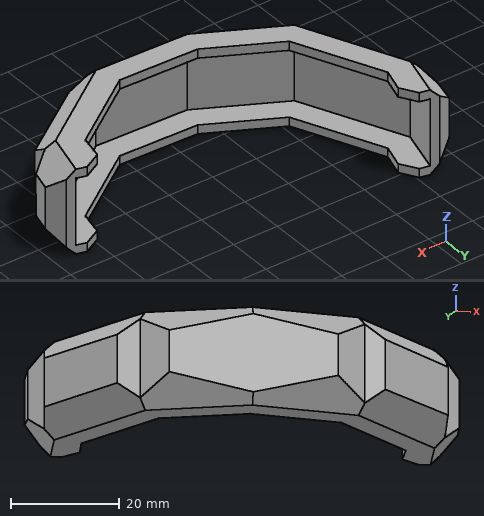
import cadquery as cq
import math

HEIGHT = 19.0
BAND_WIDTH = 5.2
VALLEY_DEPTH = 1.9
LIP_HEIGHT = 2.0
GROOVE_REACH = 7.05
GROOVE_OVERRUN = 2.35
OVERRUN = 23.5

RIDGE = [
    (-32.65, 23.3),
    (-35.2, 13.7),
    (-25.1, -8.5),
    (-7.4, -17.9),
    (13.1, -18.5),
    (32.7, -4.5),
    (35.2, 5.1),
]

LEFT_FACET = [(-38.6, 9.55), (-30.5, -8.3)]
FRONT_FACET = [(-22.95, -15.9), (7.3, -23.84)]
RIGHT_FACET = [(17.4, -21.15), (33.5, -9.9)]

LEFT_END = [(-28.3, 19.35), (-30.45, 22.95), (-34.45, 23.84), (-38.3, 21.7), (-39.15, 17.2)]
RIGHT_END = [(29.3, 3.8), (33.1, 5.9), (37.1, 4.8), (39.15, 1.0), (38.0, -3.45)]


def direction(start, end):
    """Unit vector from start to end."""
    length = math.dist(start, end)
    return ((end[0] - start[0]) / length, (end[1] - start[1]) / length)


def outward(along):
    """Unit normal pointing out of the C for a given ridge direction."""
    return (along[1], -along[0])


def mitre_point(index, offset):
    """Point on the mitre at a ridge corner, offset equally from both adjoining ridges."""
    corner = RIDGE[index]
    before = outward(direction(RIDGE[index - 1], corner))
    after = outward(direction(corner, RIDGE[index + 1]))
    scale = offset / (1 + before[0] * after[0] + before[1] * after[1])
    return (
        corner[0] + scale * (before[0] + after[0]),
        corner[1] + scale * (before[1] + after[1]),
    )


def inner(index):
    return mitre_point(index, -BAND_WIDTH)


def valley(index):
    return mitre_point(index, VALLEY_DEPTH)


def front_facet_split(index):
    """Point where the mitre at a ridge corner crosses the front facet."""
    start, end = FRONT_FACET
    normal = outward(direction(start, end))
    corner = RIDGE[index]
    mitre = direction(corner, valley(index))
    gap = (start[0] - corner[0]) * normal[0] + (start[1] - corner[1]) * normal[1]
    reach = gap / (mitre[0] * normal[0] + mitre[1] * normal[1])
    return (corner[0] + reach * mitre[0], corner[1] + reach * mitre[1])


def chamfered_bar(start, end):
    """Long bar along one ridge, with a 45 degree point facing outward."""
    along = direction(start, end)
    side = outward(along)
    half = HEIGHT / 2
    origin = (start[0] - OVERRUN * along[0], start[1] - OVERRUN * along[1], 0)
    plane = cq.Plane(origin=origin, xDir=(*side, 0), normal=(*along, 0))
    section = [(-OVERRUN, -half), (0, -half), (half, 0), (0, half), (-OVERRUN, half)]
    length = math.dist(start, end) + 2 * OVERRUN
    return cq.Workplane(plane).polyline(section).close().extrude(length)


def segment(index, outline):
    """Section of the band along one ridge: its outline trimmed by its chamfers."""
    block = cq.Workplane("XY").polyline(outline).close().extrude(HEIGHT / 2, both=True)
    return block.intersect(chamfered_bar(RIDGE[index], RIDGE[index + 1]))


def groove_end(tip, neighbour, offset):
    """Groove corner beyond a tip; offset is to the right when heading from neighbour to tip."""
    along = direction(neighbour, tip)
    side = outward(along)
    return (
        tip[0] + GROOVE_OVERRUN * along[0] + offset * side[0],
        tip[1] + GROOVE_OVERRUN * along[1] + offset * side[1],
    )


def inner_groove():
    """Groove open to the inner wall and both tips, with its floor under the ridges."""
    corners = range(1, len(RIDGE) - 1)
    outline = [
        groove_end(RIDGE[0], RIDGE[1], 0),
        *RIDGE[1:-1],
        groove_end(RIDGE[-1], RIDGE[-2], 0),
        groove_end(RIDGE[-1], RIDGE[-2], -GROOVE_REACH),
        *[mitre_point(corner, -GROOVE_REACH) for corner in reversed(corners)],
        groove_end(RIDGE[0], RIDGE[1], GROOVE_REACH),
    ]
    half_opening = HEIGHT / 2 - LIP_HEIGHT
    return cq.Workplane("XY").polyline(outline).close().extrude(half_opening, both=True)


split = front_facet_split(3)
outlines = [
    [inner(1), *LEFT_END, valley(1)],
    [inner(1), valley(1), *LEFT_FACET, valley(2), inner(2)],
    [inner(2), valley(2), FRONT_FACET[0], split, inner(3)],
    [inner(3), split, FRONT_FACET[1], valley(4), inner(4)],
    [inner(4), valley(4), *RIGHT_FACET, valley(5), inner(5)],
    [inner(5), *RIGHT_END, valley(5)],
]

result = segment(0, outlines[0])
for number in range(1, len(outlines)):
    result = result.union(segment(number, outlines[number]))
result = result.clean().cut(inner_groove())